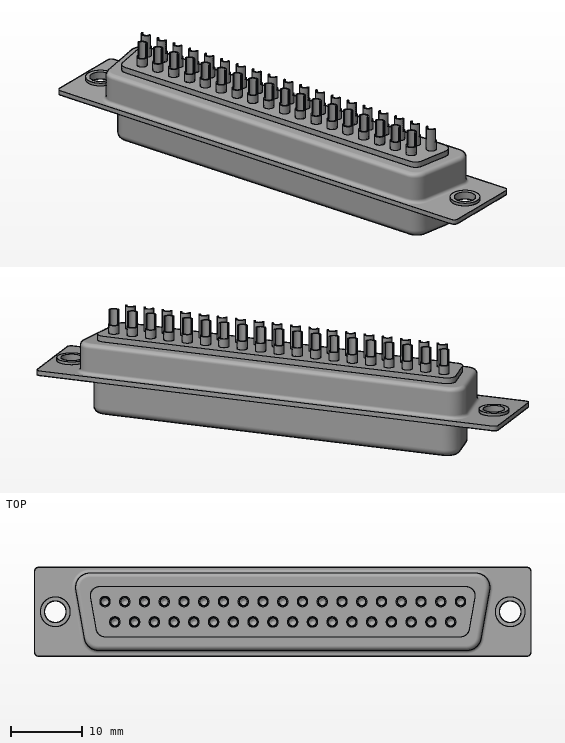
import cadquery as cq
import math

PLATE_LENGTH = 69.6
PLATE_WIDTH = 12.5
PLATE_THICKNESS = 0.7
PLATE_CORNER_RADIUS = 0.6

HOLE_SPACING = 63.7
HOLE_DIAMETER = 3.0
RIM_DIAMETER = 4.2
RIM_HEIGHT = 0.4

SIDE_ANGLE = math.radians(10)

UPPER_LENGTH = 56.9
UPPER_WIDTH = 10.85
UPPER_HEIGHT = 4.45
UPPER_EDGE_RADIUS = 0.6
UPPER_FLARE_RADIUS = 0.5

LOWER_LENGTH = 54.55
LOWER_WIDTH = 7.9
LOWER_HEIGHT = 5.6
LOWER_EDGE_RADIUS = 1.0
LOWER_FLARE_RADIUS = 0.5

SHELL_CORNER_RADIUS = 2.0

INSULATOR_LENGTH = 53.15
INSULATOR_WIDTH = 7.0
INSULATOR_HEIGHT = 0.85
INSULATOR_CORNER_RADIUS = 1.25

LONG_ROW_COUNT = 19
LONG_ROW_SPAN = 49.8
ROW_SPACING = 2.85
PIN_DIAMETER = 1.45
PIN_HEIGHT = 3.35
CUP_DIAMETER = 1.1
CUP_LIP_HEIGHT = 1.25
CUP_TIP_DEPTH = 0.35
PIN_PITCH = LONG_ROW_SPAN / (LONG_ROW_COUNT - 1)


def d_block(length, width, height, corner_radius):
    """D-shaped prism on z = 0; length is taken across the middle, the +Y side is the longer one."""
    lean = width / 2 * math.tan(SIDE_ANGLE)
    top_x = length / 2 + lean
    bottom_x = length / 2 - lean
    corners = [
        (-top_x, width / 2),
        (top_x, width / 2),
        (bottom_x, -width / 2),
        (-bottom_x, -width / 2),
    ]
    block = cq.Workplane("XY").polyline(corners).close().extrude(height)
    return block.edges("|Z").fillet(corner_radius)


def plate():
    blank = cq.Workplane("XY").box(
        PLATE_LENGTH, PLATE_WIDTH, PLATE_THICKNESS, centered=(True, True, False)
    )
    blank = blank.translate((0, 0, -PLATE_THICKNESS))
    return blank.edges("|Z").fillet(PLATE_CORNER_RADIUS)


def upper_shell():
    shell = d_block(UPPER_LENGTH, UPPER_WIDTH, UPPER_HEIGHT, SHELL_CORNER_RADIUS)
    return shell.faces(">Z").edges().fillet(UPPER_EDGE_RADIUS)


def lower_shell():
    shell = d_block(LOWER_LENGTH, LOWER_WIDTH, LOWER_HEIGHT, SHELL_CORNER_RADIUS)
    shell = shell.faces("<Z").edges().fillet(LOWER_EDGE_RADIUS)
    return shell.translate((0, 0, -PLATE_THICKNESS - LOWER_HEIGHT))


def flared_root(body, z, length, width, radius):
    """Round the inside corner where a shell of the given size meets the plate at height z."""
    margin = 0.1
    half_x = (length + width) / 2
    half_y = width / 2 + margin
    zone = cq.selectors.BoxSelector(
        (-half_x, -half_y, z - margin), (half_x, half_y, z + margin), boundingbox=True
    )
    return body.edges(zone).fillet(radius)


def solder_pin(open_side):
    """Solid pin on z = 0, cut away above the lip on the side given by open_side (+1 or -1 in Y)."""
    pin = cq.Workplane("XY").circle(PIN_DIAMETER / 2).extrude(PIN_HEIGHT)
    opening = (
        cq.Workplane("XY")
        .workplane(offset=CUP_LIP_HEIGHT)
        .center(0, open_side * PIN_DIAMETER / 2)
        .rect(PIN_DIAMETER, PIN_DIAMETER)
        .extrude(PIN_HEIGHT - CUP_LIP_HEIGHT)
    )
    return pin.cut(opening)


def cup_bore():
    """Bore through the full height of a pin, ending in a cone below z = 0."""
    radius = CUP_DIAMETER / 2
    profile = [(0, PIN_HEIGHT), (radius, PIN_HEIGHT), (radius, 0), (0, -CUP_TIP_DEPTH)]
    return cq.Workplane("XZ").polyline(profile).close().revolve(axisStart=(0, 0), axisEnd=(0, 1))


def row_copies(shape, count, side):
    """Copies of a shape at every pin place of the row on the given side in Y."""
    z = UPPER_HEIGHT + INSULATOR_HEIGHT
    copies = []
    for index in range(count):
        x = (index - (count - 1) / 2) * PIN_PITCH
        copies.append(shape.val().translate(cq.Vector(x, side * ROW_SPACING / 2, z)))
    return copies


body = plate().union(upper_shell()).union(lower_shell())
body = flared_root(body, 0, UPPER_LENGTH, UPPER_WIDTH, UPPER_FLARE_RADIUS)
body = flared_root(body, -PLATE_THICKNESS, LOWER_LENGTH, LOWER_WIDTH, LOWER_FLARE_RADIUS)

insulator = d_block(INSULATOR_LENGTH, INSULATOR_WIDTH, INSULATOR_HEIGHT, INSULATOR_CORNER_RADIUS)
body = body.union(insulator.translate((0, 0, UPPER_HEIGHT)))

hole_centres = [(-HOLE_SPACING / 2, 0), (HOLE_SPACING / 2, 0)]
rims = cq.Workplane("XY").pushPoints(hole_centres).circle(RIM_DIAMETER / 2).extrude(RIM_HEIGHT)
holes = (
    cq.Workplane("XY")
    .workplane(offset=-PLATE_THICKNESS)
    .pushPoints(hole_centres)
    .circle(HOLE_DIAMETER / 2)
    .extrude(PLATE_THICKNESS + RIM_HEIGHT)
)
body = body.union(rims).cut(holes)

pins = []
cups = []
for pin_count, row_side in [(LONG_ROW_COUNT, 1), (LONG_ROW_COUNT - 1, -1)]:
    pins += row_copies(solder_pin(row_side), pin_count, row_side)
    cups += row_copies(cup_bore(), pin_count, row_side)
result = cq.Workplane("XY").newObject([body.val().fuse(*pins).cut(*cups)])